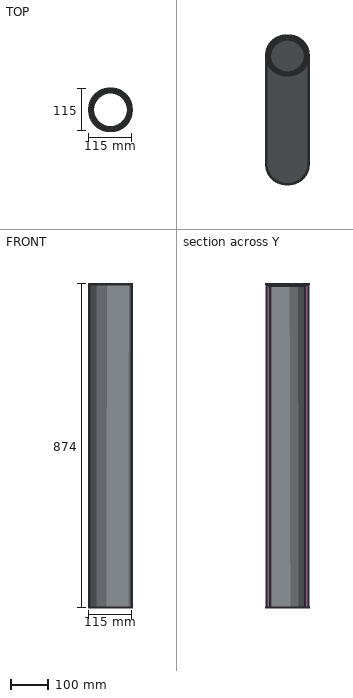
import cadquery as cq

length = 874.0
outer_diameter = 115.0
wall_thickness = 10.5
bore_diameter = outer_diameter - 2 * wall_thickness

mouth_bevel = 5.0

tube = (
    cq.Workplane("XY")
    .workplane(offset=-length / 2)
    .circle(outer_diameter / 2)
    .circle(bore_diameter / 2)
    .extrude(length)
)

mouth_edge = cq.selectors.RadiusNthSelector(0)
tube = tube.faces(">Z").edges(mouth_edge).chamfer(mouth_bevel)

result = tube.rotate((0, 0, 0), (0, 0, 1), 180)